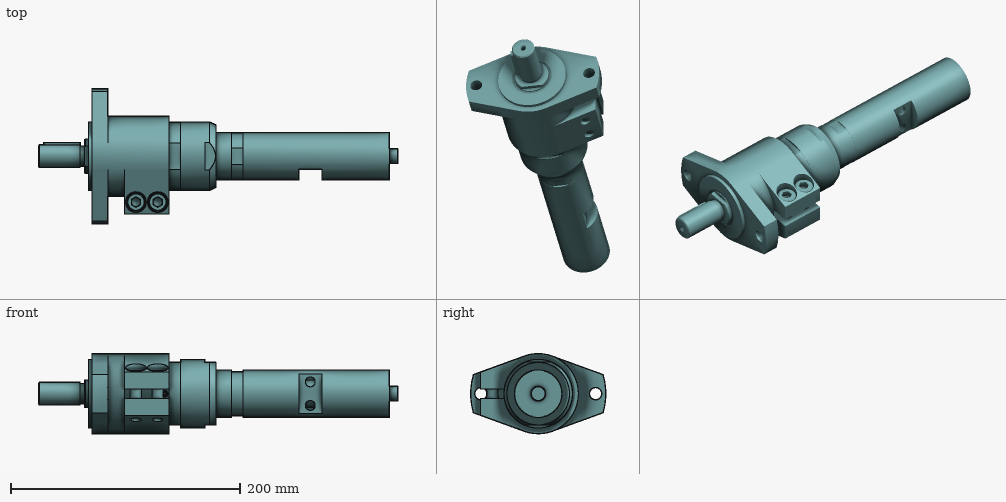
import cadquery as cq
import math


SHAFT_END = 36.0
NUT_START = 40.0
PILOT_START = 43.5
FLANGE_START = 46.5
FLANGE_END = FLANGE_START + 14.0
CLAMP_START = 75.0
CLAMP_END = 114.0
COLLAR_START = 124.0
COLLAR_FLATS_START = 145.0
COLLAR_CONE_START = 149.0
COLLAR_END = 155.0
NECK_FLATS_START = 168.5
NECK_FLATS_END = 178.5
BODY_END = 306.0
TAIL_PIN_END = 313.5

SHAFT_RADIUS = 10.0
SHAFT_CHAMFER = 1.0
SHAFT_NECK_RADIUS = 9.0
NUT_RADIUS = 15.0
NUT_CHAMFER = 0.8
PILOT_RADIUS = 30.0
HOUSING_RADIUS = 35.0
COLLAR_RADIUS = 30.0
COLLAR_TIP_RADIUS = 27.2
BODY_RADIUS = 41.5 / 2
TAIL_PIN_RADIUS = 6.5
TAIL_PIN_CHAMFER = 0.5

NECK_RELIEF = 0.2

NUT_RECESS_RADIUS = 17.5
NUT_RECESS_DEPTH = 1.0

NUT_FLAT_HEIGHT = 12.0
COLLAR_FLAT_HEIGHT = 27.5
NECK_FLAT_HEIGHT = 19.25

CENTRE_HOLE_DIAMETER = 4.13
CENTRE_HOLE_DEPTH = 12.0
CENTRE_SINK_DIAMETER = 5.5
CENTRE_SINK_ANGLE = 60.0

KEY_START = 4.5
KEY_LENGTH = 32.0
KEY_WIDTH = 6.0
KEY_TOP = 12.0
KEY_BOTTOM = 6.5

SLOPE = math.radians(20.0)
FLANGE_END_RADIUS = 59.0
FLANGE_HOLE_DIAMETER = 10.5
FLANGE_HOLE_OFFSET = 50.0

CLAMP_REACH = 50.5
CLAMP_SLOT_HEIGHT = 8.0
CLAMP_CORE_RADIUS = 30.0
SCREW_OFFSET = 40.0
SCREW_SPACING = 19.0
COUNTERBORE_DIAMETER = 18.0
SCREW_HEAD_DIAMETER = 16.0
SCREW_HEAD_CHAMFER = 0.8
SCREW_SEAT_Z = 10.0
SCREW_HEAD_HEIGHT = 10.0
SCREW_DIAMETER = 10.0
SCREW_TIP_Z = -20.0
THREAD_HOLE_DIAMETER = 8.57
HEX_ACROSS_FLATS = 8.0
HEX_DEPTH = 5.0
HEX_POINT_DEPTH = 2.0

STEP_HOLE_X = 110.1
STEP_HOLE_STEPS = ((5.5, 1.0), (3.6, 2.0), (2.0, 4.0))

NOTCH_START = 227.0
NOTCH_WIDTH = 20.0
NOTCH_FLOOR = 11.5
PORT_DIAMETER = 8.57
PORT_OFFSET = 10.25
PORT_CORE_RADIUS = 12.0
PORT_FLOOR = 2.0


def cylinder_x(start, end, radius):
    """Solid cylinder on the X axis between two stations."""
    return cq.Workplane("YZ", origin=(start, 0, 0)).circle(radius).extrude(end - start)


def cylinder_z(x, y, bottom, top, diameter):
    """Solid vertical cylinder."""
    return cq.Workplane("XY", origin=(x, y, bottom)).circle(diameter / 2).extrude(top - bottom)


def box_between(low, high):
    """Axis-aligned box from its low corner to its high corner."""
    size = [b - a for a, b in zip(low, high)]
    return cq.Workplane("XY", origin=low).box(*size, centered=False)


def slope_height(y):
    """Height of the sloping side plane at a distance y from the axis."""
    return (HOUSING_RADIUS - y * math.sin(SLOPE)) / math.cos(SLOPE)


def cut_flats(body, start, end, height, radius):
    """Mill parallel flats above and below the axis."""
    for low, high in ((height, 2 * radius), (-2 * radius, -height)):
        body = body.cut(box_between((start, -2 * radius, low), (end, 2 * radius, high)))
    return body


def cut_neck(body, start, end, height, radius):
    """Turn a neck slightly below the given radius and mill flats on it."""
    ring = cylinder_x(start, end, radius).cut(cylinder_x(start, end, radius - NECK_RELIEF))
    return cut_flats(body.cut(ring), start, end, height, radius)


def make_shaft():
    """Drive shaft with its key and countersunk centre hole."""
    shaft = cylinder_x(0, SHAFT_END, SHAFT_RADIUS).faces("<X").chamfer(SHAFT_CHAMFER)
    shaft = shaft.union(cylinder_x(SHAFT_END, NUT_START, SHAFT_NECK_RADIUS))
    key = (
        cq.Workplane("XZ", origin=(KEY_START + KEY_LENGTH / 2, KEY_TOP, 0))
        .slot2D(KEY_LENGTH, KEY_WIDTH)
        .extrude(KEY_TOP - KEY_BOTTOM)
    )
    shaft = shaft.union(key)
    return (
        shaft.faces("<X")
        .workplane(origin=(0, 0, 0))
        .cskHole(CENTRE_HOLE_DIAMETER, CENTRE_SINK_DIAMETER, CENTRE_SINK_ANGLE, CENTRE_HOLE_DEPTH)
    )


def make_nut_and_pilot():
    """Pilot disc with a shallow recess around the flatted nut."""
    recess_floor = PILOT_START + NUT_RECESS_DEPTH
    pilot = cylinder_x(PILOT_START, FLANGE_START, PILOT_RADIUS)
    pilot = pilot.cut(cylinder_x(PILOT_START, recess_floor, NUT_RECESS_RADIUS))
    nut = cylinder_x(NUT_START, recess_floor, NUT_RADIUS).faces("<X").chamfer(NUT_CHAMFER)
    nut = cut_flats(nut, NUT_START, PILOT_START, NUT_FLAT_HEIGHT, NUT_RADIUS)
    return pilot.union(nut)


def make_flange():
    """Flange wings: sides tangent to the round housing between them, round ends, two holes."""
    tangent_y = HOUSING_RADIUS * math.sin(SLOPE)
    tangent_z = HOUSING_RADIUS * math.cos(SLOPE)
    reach = FLANGE_END_RADIUS
    end_z = slope_height(reach)
    quarter = [(tangent_y, tangent_z), (reach, end_z)]
    half = quarter + [(y, -z) for y, z in reversed(quarter)]
    outline = half + [(-y, -z) for y, z in half]
    thickness = FLANGE_END - FLANGE_START
    blank = cq.Workplane("YZ", origin=(FLANGE_START, 0, 0)).polyline(outline).close().extrude(thickness)
    flange = blank.intersect(cylinder_x(FLANGE_START, FLANGE_END, FLANGE_END_RADIUS))
    holes = (
        cq.Workplane("YZ", origin=(FLANGE_START, 0, 0))
        .pushPoints([(-FLANGE_HOLE_OFFSET, 0), (FLANGE_HOLE_OFFSET, 0)])
        .circle(FLANGE_HOLE_DIAMETER / 2)
        .extrude(thickness)
    )
    return flange.cut(holes)


def make_screw(x):
    """Socket head clamp screw with a hexagon socket ending in a cone."""
    head_top = SCREW_SEAT_Z + SCREW_HEAD_HEIGHT
    head = cylinder_z(x, -SCREW_OFFSET, SCREW_SEAT_Z, head_top, SCREW_HEAD_DIAMETER)
    head = head.faces(">Z").edges().chamfer(SCREW_HEAD_CHAMFER)
    hex_corners = HEX_ACROSS_FLATS / math.cos(math.radians(30))
    socket = (
        cq.Workplane("XY", origin=(x, -SCREW_OFFSET, head_top))
        .transformed(rotate=(0, 0, 30))
        .polygon(6, hex_corners)
        .extrude(-HEX_DEPTH)
    )
    point = cq.Workplane(
        cq.Solid.makeCone(
            HEX_ACROSS_FLATS / 2,
            0,
            HEX_POINT_DEPTH,
            pnt=cq.Vector(x, -SCREW_OFFSET, head_top - HEX_DEPTH),
            dir=cq.Vector(0, 0, -1),
        )
    )
    shank = cylinder_z(x, -SCREW_OFFSET, SCREW_TIP_Z, SCREW_SEAT_Z, SCREW_DIAMETER)
    return head.cut(socket).cut(point).union(shank)


def make_housing():
    """Round housing with split clamp lugs reaching toward -Y and two clamp screws."""
    tangent_y = HOUSING_RADIUS * math.sin(SLOPE)
    tangent_z = HOUSING_RADIUS * math.cos(SLOPE)
    lug_z = slope_height(CLAMP_REACH)
    lugs = (
        cq.Workplane("YZ", origin=(CLAMP_START, 0, 0))
        .polyline(
            [
                (-tangent_y, tangent_z),
                (-CLAMP_REACH, lug_z),
                (-CLAMP_REACH, -lug_z),
                (-tangent_y, -tangent_z),
            ]
        )
        .close()
        .extrude(CLAMP_END - CLAMP_START)
    )
    housing = cylinder_x(FLANGE_START, CLAMP_END, HOUSING_RADIUS).union(lugs)
    slot = box_between(
        (CLAMP_START, -CLAMP_REACH, -CLAMP_SLOT_HEIGHT / 2),
        (CLAMP_END, 0, CLAMP_SLOT_HEIGHT / 2),
    ).cut(cylinder_x(CLAMP_START, CLAMP_END, CLAMP_CORE_RADIUS))
    housing = housing.cut(slot)

    middle = (CLAMP_START + CLAMP_END) / 2
    for x in (middle - SCREW_SPACING / 2, middle + SCREW_SPACING / 2):
        bore = cylinder_z(x, -SCREW_OFFSET, SCREW_SEAT_Z, HOUSING_RADIUS, COUNTERBORE_DIAMETER)
        thread_hole = cylinder_z(
            x, -SCREW_OFFSET, -HOUSING_RADIUS, SCREW_TIP_Z, THREAD_HOLE_DIAMETER
        )
        housing = housing.cut(bore).cut(thread_hole).union(make_screw(x))
    for diameter, depth in STEP_HOLE_STEPS:
        step = (
            cq.Workplane("XZ", origin=(STEP_HOLE_X, -CLAMP_CORE_RADIUS + depth, 0))
            .circle(diameter / 2)
            .extrude(depth)
        )
        housing = housing.cut(step)
    return housing


def make_collar():
    """Collar behind the clamp: flatted neck, round ring, flatted conical end."""
    collar = (
        cq.Workplane("XY")
        .moveTo(CLAMP_END, 0)
        .lineTo(CLAMP_END, COLLAR_RADIUS)
        .lineTo(COLLAR_CONE_START, COLLAR_RADIUS)
        .lineTo(COLLAR_END, COLLAR_TIP_RADIUS)
        .lineTo(COLLAR_END, 0)
        .close()
        .revolve(360, (0, 0, 0), (1, 0, 0))
    )
    collar = cut_neck(collar, CLAMP_END, COLLAR_START, COLLAR_FLAT_HEIGHT, COLLAR_RADIUS)
    collar = cut_flats(collar, COLLAR_FLATS_START, COLLAR_END, COLLAR_FLAT_HEIGHT, COLLAR_RADIUS)
    return collar


def make_body():
    """Motor body with neck flats, port notch and tail pin."""
    body = cylinder_x(COLLAR_END, BODY_END, BODY_RADIUS)
    body = cut_neck(body, NECK_FLATS_START, NECK_FLATS_END, NECK_FLAT_HEIGHT, BODY_RADIUS)
    notch = box_between(
        (NOTCH_START, -2 * BODY_RADIUS, -BODY_RADIUS),
        (NOTCH_START + NOTCH_WIDTH, -NOTCH_FLOOR, BODY_RADIUS),
    )
    body = body.cut(notch)
    ports = (
        cq.Workplane("XZ", origin=(NOTCH_START + NOTCH_WIDTH / 2, -PORT_FLOOR, 0))
        .pushPoints([(0, -PORT_OFFSET), (0, PORT_OFFSET)])
        .circle(PORT_DIAMETER / 2)
        .extrude(NOTCH_FLOOR - PORT_FLOOR)
    )
    body = body.cut(ports.cut(cylinder_x(COLLAR_END, BODY_END, PORT_CORE_RADIUS)))
    pin = cylinder_x(BODY_END, TAIL_PIN_END, TAIL_PIN_RADIUS)
    return body.union(pin.faces(">X").chamfer(TAIL_PIN_CHAMFER))


result = make_shaft()
for section in (make_nut_and_pilot(), make_flange(), make_housing(), make_collar(), make_body()):
    result = result.union(section)